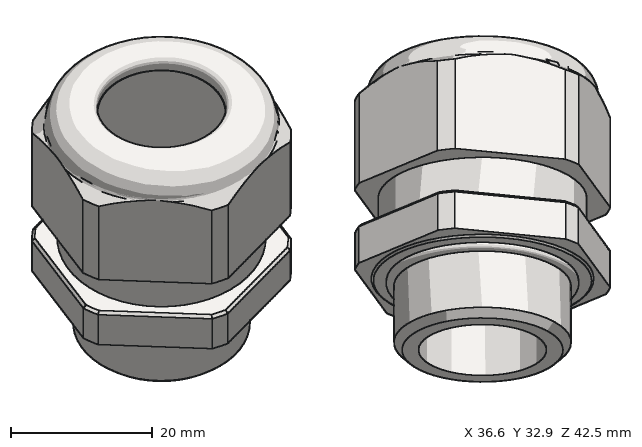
import cadquery as cq
import math

TOTAL_HEIGHT = 42.5
SEAL_BOTTOM = 9.78
BEARING_FACE_BOTTOM = 10.65
BASE_HEX_BOTTOM = 10.95
BASE_HEX_TOP = 17.0
NUT_BOTTOM = 23.2
NUT_CORNER_TOP = 36.98
DOME_BOTTOM = 38.7

THREAD_DIAMETER = 25.0
THREAD_CHAMFER = 1.15
SEAL_DIAMETER = 27.2
BEARING_FACE_DIAMETER = 31.35
NECK_DIAMETER = 29.45

CORNER_DIAMETER = 36.55
NUT_ACROSS_FLATS = 32.9
BASE_ACROSS_FLATS = 32.8
BASE_CHAMFER = 0.42

DOME_RADIUS = 16.4
DOME_ROUND = 4.0
CONE_ANGLE = 38.0

MOUTH_DIAMETER = 18.15
BORE_DIAMETER = 18.0
MOUTH_ROUND = 1.0
MOUTH_LAND = 1.0

COS_45 = math.cos(math.radians(45))


def cylinder(diameter, bottom, top):
    return cq.Workplane("XY").workplane(offset=bottom).circle(diameter / 2).extrude(top - bottom)


def hexagon(across_flats, bottom, top):
    across_corners = across_flats / math.cos(math.radians(30))
    return cq.Workplane("XY").workplane(offset=bottom).polygon(6, across_corners).extrude(top - bottom)


def revolve_about_z(profile):
    return profile.revolve(360, (0, 0, 0), (0, 1, 0))


def thread_end():
    return cylinder(THREAD_DIAMETER, 0, BASE_HEX_BOTTOM).faces("<Z").chamfer(THREAD_CHAMFER)


def seal_ring():
    """Seal with a half-round outer side, filling the gap between thread and base hexagon."""
    section_radius = (BASE_HEX_BOTTOM - SEAL_BOTTOM) / 2
    outer_radius = SEAL_DIAMETER / 2
    round_start = outer_radius - section_radius
    profile = (
        cq.Workplane("XZ")
        .moveTo(0, SEAL_BOTTOM)
        .lineTo(round_start, SEAL_BOTTOM)
        .threePointArc((outer_radius, SEAL_BOTTOM + section_radius), (round_start, BASE_HEX_BOTTOM))
        .lineTo(0, BASE_HEX_BOTTOM)
        .close()
    )
    return revolve_about_z(profile)


def base_hexagon():
    face_height = BASE_HEX_BOTTOM - BEARING_FACE_BOTTOM
    bearing_face = (
        cq.Workplane("XY")
        .workplane(offset=BASE_HEX_BOTTOM)
        .circle(BEARING_FACE_DIAMETER / 2)
        .extrude(-face_height, taper=45)
    )
    body = hexagon(BASE_ACROSS_FLATS, BASE_HEX_BOTTOM, BASE_HEX_TOP)
    body = body.intersect(cylinder(CORNER_DIAMETER, BASE_HEX_BOTTOM, BASE_HEX_TOP))
    body = body.faces(">Z").chamfer(BASE_CHAMFER)
    return body.union(bearing_face)


def nut_turned_shape():
    """Solid of revolution that trims the nut: corners, bevel, blend and dome."""
    corner_radius = CORNER_DIAMETER / 2
    slope = math.radians(CONE_ANGLE)
    turn = math.pi / 2 - slope

    rise = DOME_BOTTOM - NUT_CORNER_TOP
    run = corner_radius - DOME_RADIUS
    blend_radius = (rise - run * math.tan(slope)) / (
        math.sin(turn) - (1 - math.cos(turn)) * math.tan(slope)
    )

    def blend_point(angle):
        return (
            DOME_RADIUS + blend_radius * (1 - math.cos(angle)),
            DOME_BOTTOM - blend_radius * math.sin(angle),
        )

    dome_drop = TOTAL_HEIGHT - DOME_BOTTOM
    overhang = DOME_ROUND - dome_drop
    dome_centre_radius = DOME_RADIUS - math.sqrt(DOME_ROUND**2 - overhang**2)
    dome_centre_height = TOTAL_HEIGHT - DOME_ROUND
    dome_middle = (
        dome_centre_radius + DOME_ROUND * COS_45,
        dome_centre_height + DOME_ROUND * COS_45,
    )

    profile = (
        cq.Workplane("XZ")
        .moveTo(0, NUT_BOTTOM)
        .lineTo(corner_radius, NUT_BOTTOM)
        .lineTo(corner_radius, NUT_CORNER_TOP)
        .lineTo(*blend_point(turn))
        .threePointArc(blend_point(turn / 2), (DOME_RADIUS, DOME_BOTTOM))
        .threePointArc(dome_middle, (dome_centre_radius, TOTAL_HEIGHT))
        .lineTo(0, TOTAL_HEIGHT)
        .close()
    )
    return revolve_about_z(profile)


def nut():
    return hexagon(NUT_ACROSS_FLATS, NUT_BOTTOM, TOTAL_HEIGHT).intersect(nut_turned_shape())


def bore():
    """Through bore, slightly wider at the mouth, which flares out to the top face."""
    mouth_radius = MOUTH_DIAMETER / 2
    bore_radius = BORE_DIAMETER / 2
    round_bottom = TOTAL_HEIGHT - MOUTH_ROUND
    land_bottom = round_bottom - MOUTH_LAND
    flare_middle = (
        mouth_radius + MOUTH_ROUND * (1 - COS_45),
        round_bottom + MOUTH_ROUND * COS_45,
    )
    profile = (
        cq.Workplane("XZ")
        .moveTo(0, 0)
        .lineTo(bore_radius, 0)
        .lineTo(bore_radius, land_bottom)
        .lineTo(mouth_radius, land_bottom)
        .lineTo(mouth_radius, round_bottom)
        .threePointArc(flare_middle, (mouth_radius + MOUTH_ROUND, TOTAL_HEIGHT))
        .lineTo(0, TOTAL_HEIGHT)
        .close()
    )
    return revolve_about_z(profile)


neck = cylinder(NECK_DIAMETER, BASE_HEX_TOP, NUT_BOTTOM)

result = thread_end().union(base_hexagon()).union(seal_ring()).union(neck).union(nut()).cut(bore())